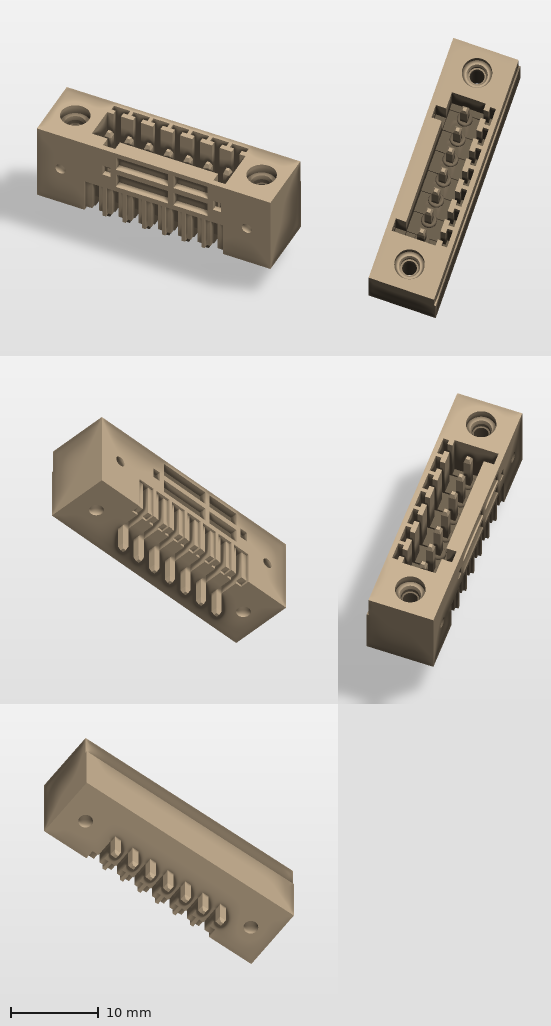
import cadquery as cq

HOUSING_LENGTH = 29.6
FRONT_Y = -3.9
REAR_Y = 4.2
HOUSING_HEIGHT = 10.12
REAR_STEP_DEPTH = 0.2
REAR_STEP_Z = 6.93

PIN_COUNT = 7
PIN_ROW_SPAN = 15.0
PIN_PITCH = PIN_ROW_SPAN / (PIN_COUNT - 1)
PIN_WIDTH = 0.83
PIN_TIP_WIDTH = 0.4
PIN_TIP_HEIGHT = 0.55
PIN_BOTTOM_Z = -3.45
PIN_TOP_Z = 9.32
PIN_XS = [(i - (PIN_COUNT - 1) / 2) * PIN_PITCH for i in range(PIN_COUNT)]

POCKET_HALF_LENGTH = 8.75
POCKET_FRONT_Y = -1.98
POCKET_REAR_Y = 2.1
POCKET_FLOOR_Z = 3.85

SLOT_FLOOR_Z = 3.55
STEM_WIDTH = 0.98
T_HEAD_WIDTH = 2.07
T_HEAD_FRONT_Y = 2.72
T_HEAD_REAR_Y = 3.4

BOSS_DIAMETER = 1.8
BOSS_TOP_DIAMETER = 1.3
BOSS_EDGE_RADIUS = (BOSS_DIAMETER - BOSS_TOP_DIAMETER) / 2

NOTCH_FRONT_Y = -3.23
NOTCH_FLOOR_Z = 4.75
NOTCH_X_RANGES = [(-6.75, -5.2), (7.25, POCKET_HALF_LENGTH)]
WINDOW_X_RANGES = [(-6.48, -5.48), (7.52, 8.52)]
WINDOW_Z_RANGE = (6.28, 7.65)

LABEL_DEPTH = 0.9
LABEL_X_RANGES = [(-4.8, 1.85), (2.52, 6.8)]
LABEL_Z_RANGES = [(5.03, 6.93), (7.67, 9.5)]

RECESS_WIDTH = 2.07
RECESS_DEPTH = 0.3
RECESS_TOP_Z = 4.35
UNDERCUT_HEIGHT = 0.33
GROOVE_DEPTH = 1.18
PIN_EXPOSED_TOP_Z = 1.48

SCREW_X = 11.8
SLEEVE_DIAMETER = 3.5
SLEEVE_RECESS = 1.18
SLEEVE_TOP_Z = HOUSING_HEIGHT - SLEEVE_RECESS
SLEEVE_BORE = 1.7
SLEEVE_COUNTERBORE = 2.1
SLEEVE_SHOULDER_Z = 8.0
COUNTERSINK_DIAMETER = 2.45
COUNTERSINK_HEIGHT = 0.4
CROSS_HOLE_DIAMETER = 1.3
CROSS_HOLE_Z = 5.05


def block(x_range, y_range, z_range):
    """Axis-aligned box between the given limits."""
    (x0, x1), (y0, y1), (z0, z1) = x_range, y_range, z_range
    return cq.Workplane("XY").box(x1 - x0, y1 - y0, z1 - z0, centered=False).translate((x0, y0, z0))


def centered_range(center, width):
    return (center - width / 2, center + width / 2)


def cylinder(x, diameter, bottom_z, top_z):
    """Upright cylinder on the pin row line."""
    return cq.Workplane("XY", origin=(x, 0, bottom_z)).circle(diameter / 2).extrude(top_z - bottom_z)


def cone(x, bottom_diameter, top_diameter, bottom_z, height):
    """Upright truncated cone on the pin row line."""
    return cq.Workplane(
        cq.Solid.makeCone(bottom_diameter / 2, top_diameter / 2, height, pnt=cq.Vector(x, 0, bottom_z))
    )


def housing_block():
    """Plain block whose rear wall is stepped back in its upper part."""
    upper_rear_y = REAR_Y - REAR_STEP_DEPTH
    profile = [
        (FRONT_Y, 0),
        (REAR_Y, 0),
        (REAR_Y, REAR_STEP_Z),
        (upper_rear_y, REAR_STEP_Z),
        (upper_rear_y, HOUSING_HEIGHT),
        (FRONT_Y, HOUSING_HEIGHT),
    ]
    return cq.Workplane("YZ").polyline(profile).close().extrude(HOUSING_LENGTH / 2, both=True)


def cut_pocket(body):
    pocket_x = (-POCKET_HALF_LENGTH, POCKET_HALF_LENGTH)
    return body.cut(block(pocket_x, (POCKET_FRONT_Y, POCKET_REAR_Y), (POCKET_FLOOR_Z, HOUSING_HEIGHT)))


def cut_t_slot(body, x):
    slot_z = (SLOT_FLOOR_Z, HOUSING_HEIGHT)
    stem = block(centered_range(x, STEM_WIDTH), (POCKET_FRONT_Y, T_HEAD_REAR_Y), slot_z)
    head = block(centered_range(x, T_HEAD_WIDTH), (T_HEAD_FRONT_Y, T_HEAD_REAR_Y), slot_z)
    return body.cut(stem).cut(head)


def add_boss(body, x):
    """Boss standing on the slot floor; its rounded edge starts level with the pocket floor."""
    boss = cylinder(x, BOSS_DIAMETER, SLOT_FLOOR_Z, POCKET_FLOOR_Z + BOSS_EDGE_RADIUS)
    return body.union(boss.faces(">Z").edges().fillet(BOSS_EDGE_RADIUS))


def cut_notches(body):
    """Keying notches, and the windows that open into them from the front."""
    for x_range in NOTCH_X_RANGES:
        body = body.cut(block(x_range, (NOTCH_FRONT_Y, POCKET_FRONT_Y), (NOTCH_FLOOR_Z, HOUSING_HEIGHT)))
    for x_range in WINDOW_X_RANGES:
        body = body.cut(block(x_range, (FRONT_Y, NOTCH_FRONT_Y), WINDOW_Z_RANGE))
    return body


def cut_labels(body):
    for x_range in LABEL_X_RANGES:
        for z_range in LABEL_Z_RANGES:
            body = body.cut(block(x_range, (FRONT_Y, FRONT_Y + LABEL_DEPTH), z_range))
    return body


def cut_front_recess(body, x):
    """Shallow recess, deeper along its bottom edge; the end ones reach out to the pocket length."""
    left, right = centered_range(x, RECESS_WIDTH)
    if x == PIN_XS[0]:
        left = -POCKET_HALF_LENGTH
    if x == PIN_XS[-1]:
        right = POCKET_HALF_LENGTH
    back_y = FRONT_Y + RECESS_DEPTH
    undercut_y = FRONT_Y + GROOVE_DEPTH
    profile = [
        (FRONT_Y, 0),
        (undercut_y, 0),
        (undercut_y, UNDERCUT_HEIGHT),
        (back_y, UNDERCUT_HEIGHT),
        (back_y, RECESS_TOP_Z),
        (FRONT_Y, RECESS_TOP_Z),
    ]
    recess = cq.Workplane("YZ", origin=(left, 0, 0)).polyline(profile).close().extrude(right - left)
    return body.cut(recess)


def cut_pin_groove(body, x):
    """Pin-wide groove in the recess, running back to the pin near the underside."""
    width = centered_range(x, PIN_WIDTH)
    upper = block(width, (FRONT_Y, FRONT_Y + GROOVE_DEPTH), (0, RECESS_TOP_Z))
    lower = block(width, (FRONT_Y, 0), (0, PIN_EXPOSED_TOP_Z))
    return body.cut(upper).cut(lower)


def cut_pin_hole(body, x):
    width = centered_range(x, PIN_WIDTH)
    return body.cut(block(width, centered_range(0, PIN_WIDTH), (0, HOUSING_HEIGHT)))


def cut_screw_hole(body, x):
    """Hole for the sleeve, and a cross hole that reaches it from the front."""
    cross_hole = (
        cq.Workplane("XZ", origin=(x, FRONT_Y, CROSS_HOLE_Z))
        .circle(CROSS_HOLE_DIAMETER / 2)
        .extrude(FRONT_Y)
    )
    return body.cut(cylinder(x, SLEEVE_DIAMETER, 0, HOUSING_HEIGHT)).cut(cross_hole)


def make_housing():
    body = cut_pocket(housing_block())
    body = cut_labels(cut_notches(body))
    for x in PIN_XS:
        body = cut_t_slot(body, x)
        body = add_boss(body, x)
        body = cut_front_recess(body, x)
        body = cut_pin_groove(body, x)
        body = cut_pin_hole(body, x)
    for x in (-SCREW_X, SCREW_X):
        body = cut_screw_hole(body, x)
    return body


def pin_tip(x, base_z, tip_z):
    """Square taper from the full pin width at base_z to the blunt end at tip_z."""
    return (
        cq.Workplane("XY", origin=(x, 0, base_z))
        .rect(PIN_WIDTH, PIN_WIDTH)
        .workplane(offset=tip_z - base_z)
        .rect(PIN_TIP_WIDTH, PIN_TIP_WIDTH)
        .loft(ruled=True)
    )


def make_pin(x):
    width = centered_range(x, PIN_WIDTH)
    lower_base_z = PIN_BOTTOM_Z + PIN_TIP_HEIGHT
    upper_base_z = PIN_TOP_Z - PIN_TIP_HEIGHT
    shaft = block(width, centered_range(0, PIN_WIDTH), (lower_base_z, upper_base_z))
    return shaft.union(pin_tip(x, lower_base_z, PIN_BOTTOM_Z)).union(pin_tip(x, upper_base_z, PIN_TOP_Z))


def make_sleeve(x):
    """Sleeve with a stepped bore that is countersunk at the top."""
    countersink_z = SLEEVE_TOP_Z - COUNTERSINK_HEIGHT
    sleeve = cylinder(x, SLEEVE_DIAMETER, 0, SLEEVE_TOP_Z)
    sleeve = sleeve.cut(cylinder(x, SLEEVE_BORE, 0, SLEEVE_TOP_Z))
    sleeve = sleeve.cut(cylinder(x, SLEEVE_COUNTERBORE, SLEEVE_SHOULDER_Z, SLEEVE_TOP_Z))
    return sleeve.cut(cone(x, SLEEVE_COUNTERBORE, COUNTERSINK_DIAMETER, countersink_z, COUNTERSINK_HEIGHT))


housing = make_housing()
pins = [make_pin(x) for x in PIN_XS]
sleeves = [make_sleeve(x) for x in (-SCREW_X, SCREW_X)]

result = cq.Compound.makeCompound(
    [housing.val(), *[pin.val() for pin in pins], *[sleeve.val() for sleeve in sleeves]]
)